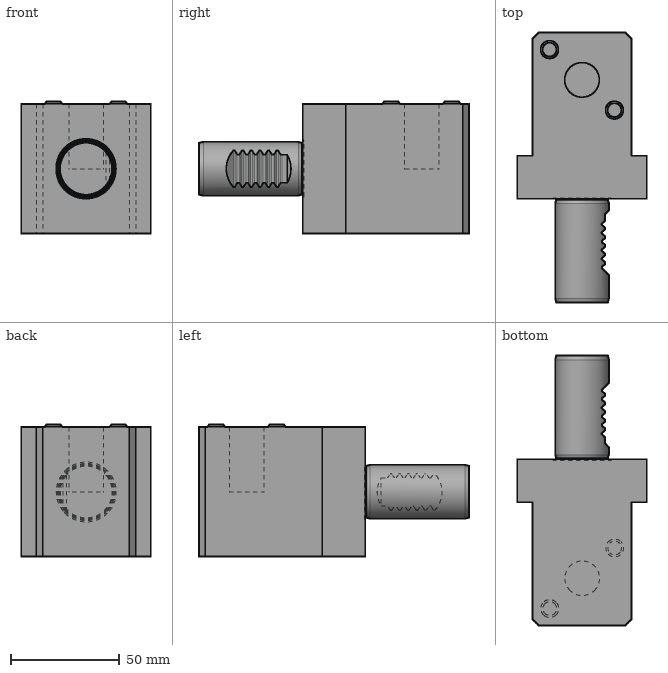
import cadquery as cq
import math


flange_width = 60.0
flange_thickness = 20.0
body_width = 46.0
body_corner_chamfer = 3.0
block_length = 77.0
block_height = 60.0
block_top = block_height / 2

shank_radius = 25.0 / 2
shank_length = 48.0
tip_radius = 24.0 / 2
tip_chamfer_length = 2.0
neck_radius = 24.1 / 2
neck_distance = 0.8
full_radius_distance = 2.1

recess_radius = 27.8 / 2
recess_depth = 0.5
recess_floor_radius = 26.5 / 2
root_flare_distance = 0.4
root_flare_radius = neck_radius + recess_depth + root_flare_distance

tooth_flat_x = 10.8
tooth_pitch = 4.0
tooth_gap_count = 6
crest_radius = 0.9
gap_radius = 0.5
flank_angle = math.radians(40)
flat_start_distance = 7.1
first_gap_distance = 11.8
tooth_depth = (
    tooth_pitch / 2 / math.tan(flank_angle)
    - (crest_radius + gap_radius) * (1 / math.sin(flank_angle) - 1)
)
cutter_margin = 1.2

hole_diameter = 16.0
hole_depth = block_top
hole_back_distance = 22.0
hole_y = block_length - hole_back_distance
pin_offset_x = 15.0
pin_offset_y = 14.0
pin_height = 1.2
pin_top_radius = 6.4 / 2
pin_base_radius = 8.2 / 2


def make_block():
    flange = cq.Workplane("XY").box(
        flange_width, flange_thickness, block_height, centered=(True, False, True)
    )
    body = cq.Workplane("XY").box(
        body_width, block_length, block_height, centered=(True, False, True)
    )
    body = body.faces(">Y").edges("|Z").chamfer(body_corner_chamfer)
    return flange.union(body)


def make_recess():
    profile = [
        (0, 0),
        (recess_radius, 0),
        (recess_floor_radius, recess_depth),
        (0, recess_depth),
    ]
    return cq.Workplane("XY").polyline(profile).close().revolve(360, (0, 0), (0, 1))


def make_shank():
    """Shank turned about Y, flaring at 45 degrees onto the recess floor."""
    profile = [
        (0, -shank_length),
        (tip_radius, -shank_length),
        (shank_radius, tip_chamfer_length - shank_length),
        (shank_radius, -full_radius_distance),
        (neck_radius, -neck_distance),
        (neck_radius, -root_flare_distance),
        (root_flare_radius, recess_depth),
        (0, recess_depth),
    ]
    return cq.Workplane("XY").polyline(profile).close().revolve(360, (0, 0), (0, 1))


def make_tooth_cutter():
    """Flat with rounded rack teeth, cut straight across the shank along Z."""
    outer_x = shank_radius + cutter_margin
    entry_run = outer_x - tooth_flat_x
    crest_x = tooth_flat_x - crest_radius * (1 - math.sin(flank_angle))
    crest_half_width = crest_radius * math.cos(flank_angle)
    root_x = tooth_flat_x - tooth_depth
    gap_x = root_x + gap_radius * (1 - math.sin(flank_angle))
    gap_half_width = gap_radius * math.cos(flank_angle)

    outline = (
        cq.Workplane("XY")
        .moveTo(outer_x, entry_run - flat_start_distance)
        .lineTo(tooth_flat_x, -flat_start_distance)
    )
    for gap in range(tooth_gap_count):
        gap_y = -first_gap_distance - gap * tooth_pitch
        crest_y = gap_y + tooth_pitch / 2
        if gap == 0:
            outline = outline.lineTo(tooth_flat_x, crest_y)
            flank_start = (crest_x, crest_y - crest_half_width)
            outline = outline.tangentArcPoint(flank_start, relative=False)
        else:
            outline = outline.lineTo(crest_x, crest_y + crest_half_width)
            crest_end = (crest_x, crest_y - crest_half_width)
            outline = outline.threePointArc((tooth_flat_x, crest_y), crest_end)
        outline = outline.lineTo(gap_x, gap_y + gap_half_width)
        outline = outline.threePointArc((root_x, gap_y), (gap_x, gap_y - gap_half_width))

    exit_y = gap_y - gap_half_width - (outer_x - gap_x)
    outline = outline.lineTo(outer_x, exit_y).close()
    return outline.extrude(shank_radius, both=True)


def make_hole():
    start = cq.Workplane("XY", origin=(0, hole_y, block_top))
    return start.circle(hole_diameter / 2).extrude(-hole_depth)


def make_pin(x, y):
    base = cq.Workplane("XY", origin=(x, y, block_top)).circle(pin_base_radius)
    return base.workplane(offset=pin_height).circle(pin_top_radius).loft(ruled=True)


block = make_block().cut(make_recess()).cut(make_hole())
shank = make_shank().cut(make_tooth_cutter())
result = block.union(shank)
for side in (-1, 1):
    result = result.union(make_pin(side * pin_offset_x, hole_y - side * pin_offset_y))